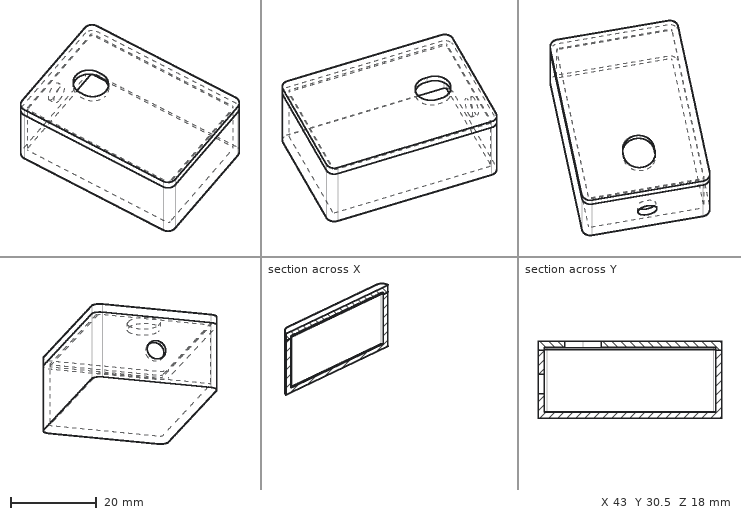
import cadquery as cq

length = 43.0
width = 30.5
height = 18.0
corner_radius = 2.0
wall = 1.5
floor_thickness = 1.5

lid_height = 2.0
lid_plate = 1.5
box_height = height - lid_height

window_diameter = 7.5
window_hole_spacing = 1.0
window_x = -11.0

cable_hole_diameter = 4.5
cable_hole_z = 8.0

inner_length = length - 2 * wall
inner_width = width - 2 * wall
inner_radius = corner_radius - wall


def rounded_block(size_x, size_y, radius, bottom, top):
    """Block centred on Z, with rounded vertical edges, from bottom to top."""
    block = cq.Workplane("XY").workplane(offset=bottom).rect(size_x, size_y).extrude(top - bottom)
    return block.edges("|Z").fillet(radius)


def make_box():
    """Open-topped box with a cable hole in one end wall."""
    shell = rounded_block(length, width, corner_radius, 0, box_height)
    cavity = rounded_block(inner_length, inner_width, inner_radius, floor_thickness, box_height)
    cable_hole = (
        cq.Workplane("YZ", origin=(-length / 2, 0, cable_hole_z))
        .circle(cable_hole_diameter / 2)
        .extrude(wall)
    )
    return shell.cut(cavity).cut(cable_hole)


def make_lid():
    """Lid hollowed underneath to continue the box cavity, with a window."""
    shell = rounded_block(length, width, corner_radius, box_height, height)
    recess = rounded_block(inner_length, inner_width, inner_radius, box_height, height - lid_plate)
    lid_body = shell.cut(recess)
    for side in (-1, 1):
        hole_x = window_x + side * window_hole_spacing / 2
        hole = (
            cq.Workplane("XY", origin=(hole_x, 0, box_height))
            .circle(window_diameter / 2)
            .extrude(lid_height)
        )
        lid_body = lid_body.cut(hole)
    return lid_body


box = make_box()
lid = make_lid()
result = cq.Compound.makeCompound([box.val(), lid.val()])